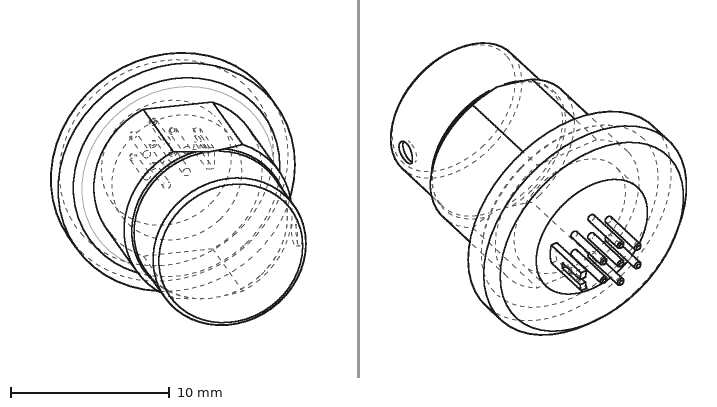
import cadquery as cq
import math


overall_length = 18.8
contact_length = 3.3
flange_thickness = 2.5
lip_height = 0.3
body_length = 7.22
flange_back = contact_length
flange_front = flange_back + flange_thickness
lip_front = flange_front + lip_height
body_front = lip_front + body_length

flange_radius = 7.75
flange_chamfer = 0.75
lip_radius = 6.75
lip_round = 0.5
body_radius = 5.49
barrel_radius = 5.0
barrel_chamfer = 0.3
neck_angle = math.radians(45)
neck_fillet = 0.3
dot_diameter = 1.5
dot_depth = 0.3
dot_setback = 2.0

insert_radius = 4.25
insert_depth = flange_thickness
dish_depth = 0.11

pin_radius = 0.25
pin_chamfer = 0.1
pin_circle_radius = 1.5
outer_pin_count = 6
blade_outer_radius = 3.15
blade_inner_radius = 2.75
blade_width = 1.45
blade_slot_width = 0.41
blade_slot_depth = 2.0


def turn(profile):
    """Revolve a closed (x, radius) profile about the X axis."""
    return profile.close().revolve(360, (0, 0, 0), (1, 0, 0))


def rod(radius, start, length):
    """Solid cylinder on the X axis."""
    return cq.Workplane("YZ", origin=(start, 0, 0)).circle(radius).extrude(length)


def make_flange():
    """Flange with a bevelled back edge."""
    return rod(flange_radius, flange_back, flange_thickness).faces("<X").chamfer(flange_chamfer)


def make_lip():
    """Low seat in front of the flange; its edge is an arc tangent to the front face."""
    arc_center_x = lip_front - lip_round
    start_angle = math.acos((flange_front - arc_center_x) / lip_round)
    arc_center_radius = lip_radius - lip_round * math.sin(start_angle)
    arc_middle = (
        arc_center_x + lip_round * math.cos(start_angle / 2),
        arc_center_radius + lip_round * math.sin(start_angle / 2),
    )
    profile = (
        cq.Workplane("XY")
        .moveTo(flange_front, 0)
        .lineTo(flange_front, lip_radius)
        .threePointArc(arc_middle, (lip_front, arc_center_radius))
        .lineTo(lip_front, 0)
    )
    return turn(profile)


def make_barrel():
    """Body with two flats, narrowing through a filleted 45 degree cone to the barrel."""
    cone_end = body_front + (body_radius - barrel_radius) / math.tan(neck_angle)
    fillet_tangent = neck_fillet * math.tan(neck_angle / 2)
    fillet_start = cone_end - fillet_tangent * math.cos(neck_angle)
    fillet_start_radius = barrel_radius + fillet_tangent * math.sin(neck_angle)
    fillet_end = cone_end + fillet_tangent
    fillet_middle = (
        fillet_end - neck_fillet * math.sin(neck_angle / 2),
        barrel_radius + neck_fillet * (1 - math.cos(neck_angle / 2)),
    )
    profile = (
        cq.Workplane("XY")
        .moveTo(lip_front, 0)
        .lineTo(lip_front, body_radius)
        .lineTo(body_front, body_radius)
        .lineTo(fillet_start, fillet_start_radius)
        .threePointArc(fillet_middle, (fillet_end, barrel_radius))
        .lineTo(overall_length - barrel_chamfer, barrel_radius)
        .lineTo(overall_length, barrel_radius - barrel_chamfer)
        .lineTo(overall_length, 0)
    )
    slab_between_flats = cq.Workplane("XY").box(
        2 * overall_length, 2 * body_radius, 2 * barrel_radius
    )
    return turn(profile).intersect(slab_between_flats)


def make_alignment_dot():
    """Cutter for the round index mark on the +Y side of the barrel."""
    dot_x = overall_length - dot_setback
    return (
        cq.Workplane("XZ", origin=(dot_x, barrel_radius, 0))
        .circle(dot_diameter / 2)
        .extrude(dot_depth)
    )


def make_housing():
    insert_recess = rod(insert_radius, flange_back, insert_depth)
    solid = make_flange().union(make_lip()).union(make_barrel())
    return solid.cut(insert_recess).cut(make_alignment_dot())


def make_insert_disc():
    """Disc filling the recess, with a shallow conical dish in its back face."""
    disc_front = flange_back + insert_depth
    profile = (
        cq.Workplane("XY")
        .moveTo(flange_back + dish_depth, 0)
        .lineTo(flange_back, insert_radius)
        .lineTo(disc_front, insert_radius)
        .lineTo(disc_front, 0)
    )
    return turn(profile)


def make_pin(y, z):
    """Round contact with a chamfered tip, rooted in the insert disc."""
    pin = rod(pin_radius, 0, contact_length + insert_depth).faces("<X").chamfer(pin_chamfer)
    return pin.translate((0, y, z))


def make_blade():
    """Curved contact on the +Y side, split into two tines by a slot."""
    blade_length = contact_length + insert_depth
    ring = rod(blade_outer_radius, 0, blade_length).cut(rod(blade_inner_radius, 0, blade_length))
    width_limit = cq.Workplane("XY").box(
        blade_length, blade_outer_radius, blade_width, centered=(False, False, True)
    )
    slot = cq.Workplane("XY").box(
        blade_slot_depth, blade_outer_radius, blade_slot_width, centered=(False, False, True)
    )
    return ring.intersect(width_limit).cut(slot)


def make_insert():
    insert = make_insert_disc().union(make_blade()).union(make_pin(0, 0))
    for index in range(outer_pin_count):
        angle = 2 * math.pi * index / outer_pin_count
        y = pin_circle_radius * math.sin(angle)
        z = pin_circle_radius * math.cos(angle)
        insert = insert.union(make_pin(y, z))
    return insert


housing = make_housing()
insert = make_insert()

result = cq.Compound.makeCompound([housing.val(), insert.val()])